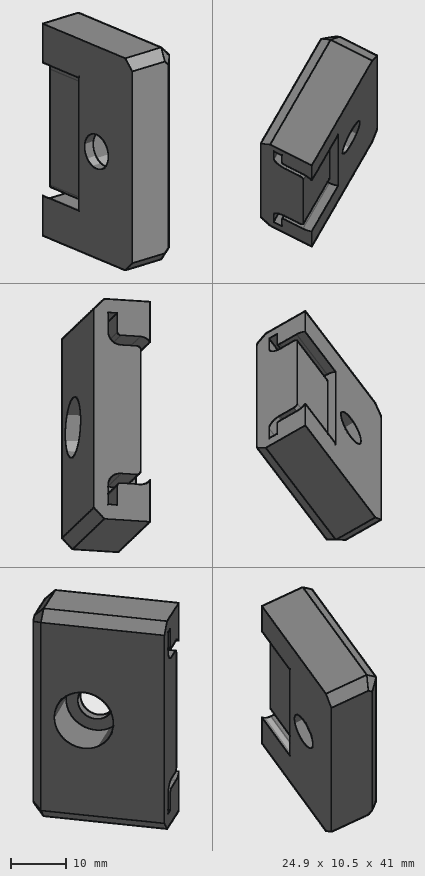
import cadquery as cq
import math

WIDTH = 24.95
DEPTH = 10.5
HEIGHT = 41
CHAMFER = 1.95

CHANNEL_LENGTH = 10.05
CHANNEL_CENTER_Z = 0.12
LIP_TOP = 17.88
LIP_BACK = 7.85
LIP_FRONT = 6.1
MOUTH_HALF = 13.78
TONGUE_HALF = 11.97
MOUTH_FRONT = -0.5
TONGUE_DEPTH = 1.72
INNER_RADIUS = 0.57
TONGUE_RADIUS = 0.78
OUTER_RADIUS = INNER_RADIUS + MOUTH_HALF - TONGUE_HALF

HOLE_DIAMETER = 6.6
HOLE_FLOOR = 2.05
COUNTERBORE_DIAMETER = 11.0
HOLE_X = 15.0
HOLE_Z = CHANNEL_CENTER_Z


def block(y_start, y_end, half_height):
    """Block over the channel's length, symmetric about its centre height."""
    return (
        cq.Workplane("XY")
        .box(CHANNEL_LENGTH, y_end - y_start, 2 * half_height, centered=(False, False, True))
        .translate((0, y_start, CHANNEL_CENTER_Z))
    )


def make_body():
    body = cq.Workplane("XY").box(WIDTH, DEPTH, HEIGHT, centered=(False, False, True))
    for side in (-1, 1):
        top = side * HEIGHT / 2
        shoulder = top - side * CHAMFER
        back_edge = (
            cq.Workplane("YZ")
            .polyline([(DEPTH, top), (DEPTH - CHAMFER, top), (DEPTH, shoulder)])
            .close()
            .extrude(WIDTH)
        )
        side_corner = (
            cq.Workplane("XZ")
            .polyline([(WIDTH, top), (WIDTH - CHAMFER, top), (WIDTH, shoulder)])
            .close()
            .extrude(-DEPTH)
        )
        facet = cq.Plane(
            origin=(WIDTH - CHAMFER, DEPTH, shoulder),
            xDir=(0, 1, -side),
            normal=(math.sqrt(2), 1, side),
        )
        facet_cut = cq.Workplane(facet).box(DEPTH, DEPTH, DEPTH, centered=(True, True, False))
        body = body.cut(back_edge).cut(side_corner).cut(facet_cut)
    side_edge = (
        cq.Workplane("XY")
        .workplane(offset=-HEIGHT / 2)
        .polyline([(WIDTH, DEPTH), (WIDTH - CHAMFER, DEPTH), (WIDTH, DEPTH - CHAMFER)])
        .close()
        .extrude(HEIGHT)
    )
    return body.cut(side_edge)


def round_pair(solid, y, half_height, radius):
    """Fillet the two X edges at depth y, above and below the centre height."""
    for side in (-1, 1):
        edge_middle = (CHANNEL_LENGTH / 2, y, CHANNEL_CENTER_Z + side * half_height)
        solid = solid.edges(cq.selectors.NearestToPointSelector(edge_middle)).fillet(radius)
    return solid


def make_channel():
    mouth = block(MOUTH_FRONT, LIP_BACK, MOUTH_HALF)
    lips = block(LIP_FRONT, LIP_BACK, LIP_TOP)
    channel = mouth.union(lips)
    channel = round_pair(channel, LIP_FRONT, MOUTH_HALF, INNER_RADIUS)
    channel = round_pair(channel, MOUTH_FRONT, MOUTH_HALF, OUTER_RADIUS)

    tongue = block(TONGUE_DEPTH, LIP_BACK, TONGUE_HALF)
    foot = block(LIP_BACK - OUTER_RADIUS, LIP_BACK, TONGUE_HALF + OUTER_RADIUS)
    for side in (-1, 1):
        arc_center_z = CHANNEL_CENTER_Z + side * (TONGUE_HALF + OUTER_RADIUS)
        rounding = (
            cq.Workplane("YZ")
            .center(LIP_BACK - OUTER_RADIUS, arc_center_z)
            .circle(OUTER_RADIUS)
            .extrude(CHANNEL_LENGTH)
        )
        foot = foot.cut(rounding)
    tongue = round_pair(tongue, TONGUE_DEPTH, TONGUE_HALF, TONGUE_RADIUS)
    return channel.cut(tongue).cut(foot)


def cylinder(diameter, y_start):
    """Cylinder along Y from y_start to the back face."""
    return (
        cq.Workplane("XZ", origin=(HOLE_X, y_start, HOLE_Z))
        .circle(diameter / 2)
        .extrude(y_start - DEPTH)
    )


def make_hole():
    return cylinder(HOLE_DIAMETER, 0).union(cylinder(COUNTERBORE_DIAMETER, HOLE_FLOOR))


result = make_body().cut(make_channel()).cut(make_hole())